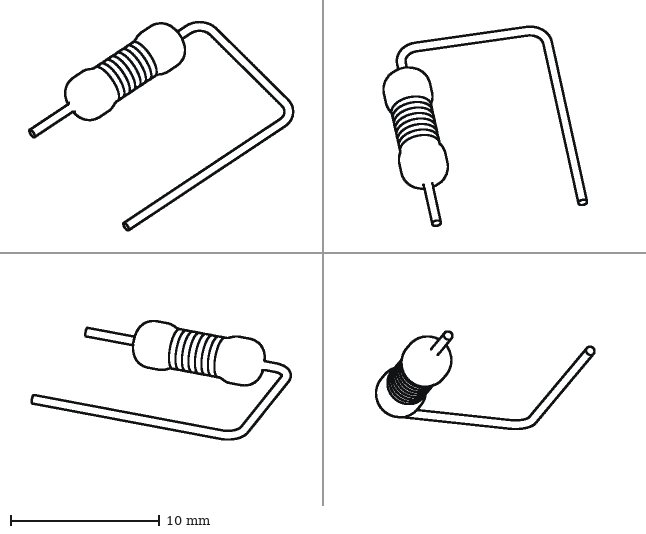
import cadquery as cq

wire_diameter = 0.6
wire_radius = wire_diameter / 2
lead_spacing = 10.0
overall_length = 15.1
bend_radius = 1.2
crossbar_y = overall_length - wire_radius

body_centre_y = 8.101
cap_radius = 3.2 / 2
barrel_radius = 2.72 / 2
band_radius = 2.73 / 2
collar_radius = 0.6
collar_fillet = collar_radius - wire_radius

band_width = 0.47
band_count = 4
barrel_half = (2 * band_count - 1) * band_width / 2
cap_inner = 2.55
cap_outer = 3.4
body_half = 4.5
shoulder_middle = (barrel_half + cap_inner) / 2
shoulder_middle_radius = (barrel_radius + cap_radius) / 2


def make_body_end():
    """One end of the body, revolved about Y from the middle gap to the tip of its collar."""
    tip = body_half + collar_fillet
    diagonal = collar_fillet * (1 - 0.5**0.5)
    profile = (
        cq.Workplane("XY")
        .moveTo(0, band_width / 2)
        .lineTo(barrel_radius, band_width / 2)
        .lineTo(barrel_radius, barrel_half)
        .tangentArcPoint((shoulder_middle_radius, shoulder_middle), relative=False)
        .tangentArcPoint((cap_radius, cap_inner), relative=False)
        .lineTo(cap_radius, cap_outer)
        .tangentArcPoint((collar_radius, body_half), relative=False)
        .threePointArc(
            (wire_radius + diagonal, body_half + diagonal),
            (wire_radius, tip),
        )
        .lineTo(0, tip)
        .close()
    )
    return profile.revolve(360, (0, 0, 0), (0, 1, 0))


def make_ring(radius, top):
    """Disc one band wide, running toward -Y from its top face."""
    return cq.Workplane("XZ", origin=(0, top, 0)).circle(radius).extrude(band_width)


def make_body():
    """Two mirrored ends joined by the middle gap, with bands slightly proud of the barrel."""
    end = make_body_end()
    middle_gap = make_ring(barrel_radius, band_width / 2)
    body = middle_gap.union(end).union(end.mirror("XZ"))
    for index in range(band_count):
        body = body.union(make_ring(band_radius, barrel_half - 2 * index * band_width))
    return body.translate((0, body_centre_y, 0))


def make_wire():
    """One round wire: up the body axis, across, and back down the return lead."""
    bend_start_y = crossbar_y - bend_radius
    path = (
        cq.Workplane("XY")
        .lineTo(0, bend_start_y)
        .tangentArcPoint((bend_radius, crossbar_y), relative=False)
        .lineTo(lead_spacing - bend_radius, crossbar_y)
        .tangentArcPoint((lead_spacing, bend_start_y), relative=False)
        .lineTo(lead_spacing, 0)
    )
    return cq.Workplane("XZ").circle(wire_radius).sweep(path)


result = make_body().union(make_wire())